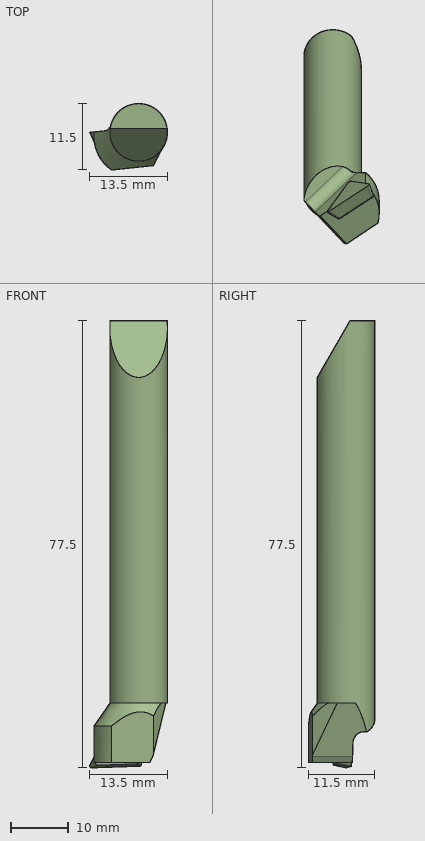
import cadquery as cq
import math

total_length = 77.5
shank_diameter = 10.0
shank_radius = shank_diameter / 2
shank_bottom = 11.2
bevel_height = 9.85
bevel_angle = 30.0

head_bottom = 0.9
shoulder_height = 7.3
flank_radius = 7.0
flank_x = -0.8
flank_y = -0.8
front_edge_x = -4.35
front_edge_y = -6.5
facet_x = 2.55
facet_end_x = 4.8
face_angle = 6.0
land_back_y = 1.55
side_top_x = 4.7
side_low_x = 2.5
side_low_z = 2.0
corner_x = 1.9

gully_start_x = -4.4
gully_start_z = 11.55
gully_angle = 33.0
gully_fillet = 1.9

tip_x = -8.49
tip_y = 0.0
insert_edge = 9.6
insert_thickness = 2.3
insert_lead_angle = 2.0
insert_relief = 11.0
nose_radius = 0.4

clearance = 15.5

face_slope = math.tan(math.radians(face_angle))
face_cos = math.cos(math.radians(face_angle))
face_sin = math.sin(math.radians(face_angle))
rake_plane = cq.Plane(origin=(tip_x, tip_y, 0), xDir=(face_cos, face_sin, 0), normal=(face_sin, -face_cos, 0))


def make_shank():
    shank = cq.Workplane("XY").workplane(offset=shank_bottom)
    shank = shank.circle(shank_radius).extrude(total_length - shank_bottom)
    bevel_top_y = bevel_height * math.tan(math.radians(bevel_angle)) - shank_radius
    bevel = (
        cq.Workplane("YZ")
        .moveTo(bevel_top_y, total_length)
        .lineTo(-shank_radius, total_length - bevel_height)
        .lineTo(-shank_radius, total_length)
        .close()
        .extrude(shank_radius, both=True)
    )
    return shank.cut(bevel)


def make_head_plan():
    """Vertical prism bounded by the front flat, the side facet and the shank surface."""
    facet_y = front_edge_y + (facet_x - front_edge_x) * face_slope
    facet_end_y = -math.sqrt(shank_radius**2 - facet_end_x**2)
    land_x = -math.sqrt(shank_radius**2 - land_back_y**2)
    left_x = -clearance
    left_y = front_edge_y + (left_x - front_edge_x) * face_slope
    return (
        cq.Workplane("XY")
        .workplane(offset=head_bottom)
        .moveTo(left_x, left_y)
        .lineTo(facet_x, facet_y)
        .lineTo(facet_end_x, facet_end_y)
        .threePointArc((0, shank_radius), (land_x, land_back_y))
        .lineTo(left_x, land_back_y)
        .close()
        .extrude(shank_bottom - head_bottom)
    )


def make_head_side():
    """Prism that gives the head its sloping right side and bevelled lower corner."""
    side_points = [
        (-clearance, head_bottom),
        (corner_x, head_bottom),
        (side_low_x, side_low_z),
        (side_top_x, shank_bottom),
        (-clearance, shank_bottom),
    ]
    return cq.Workplane("XZ").polyline(side_points).close().extrude(clearance, both=True)


def make_flank():
    """Clearance cylinder with a conical shoulder up to the shank."""
    cylinder = cq.Workplane("XY").workplane(offset=head_bottom).center(flank_x, flank_y)
    cylinder = cylinder.circle(flank_radius).extrude(shoulder_height - head_bottom)
    shoulder = (
        cq.Workplane("XY")
        .workplane(offset=shoulder_height)
        .center(flank_x, flank_y)
        .circle(flank_radius)
        .workplane(offset=shank_bottom - shoulder_height)
        .center(-flank_x, -flank_y)
        .circle(shank_radius)
        .loft(ruled=True)
    )
    return cylinder.union(shoulder)


def make_gully():
    """Space behind the rake plane, under a sloping roof with a rounded root."""
    roof_slope = math.tan(math.radians(gully_angle))
    start_u = (gully_start_x - tip_x) / face_cos
    roof_left_z = gully_start_z + (clearance + start_u) * roof_slope
    roof_right_z = gully_start_z - (2 * clearance - start_u) * roof_slope
    return (
        cq.Workplane(rake_plane)
        .moveTo(-clearance, roof_left_z)
        .lineTo(2 * clearance, roof_right_z)
        .lineTo(-clearance, roof_right_z)
        .close()
        .extrude(-clearance)
        .edges(cq.selectors.NearestToPointSelector((gully_start_x, tip_y, gully_start_z)))
        .fillet(gully_fillet)
    )


def make_insert():
    """Triangle with rounded noses, tapering away from the rake face."""
    lower_edge = math.radians(insert_lead_angle)
    upper_edge = lower_edge + math.radians(60)
    bisector = lower_edge + math.radians(30)
    corner_u = nose_radius - 2 * nose_radius * math.cos(bisector)
    corner_z = nose_radius - 2 * nose_radius * math.sin(bisector)
    corners = [(corner_u, corner_z)]
    for angle in (lower_edge, upper_edge):
        end_u = corner_u + insert_edge * math.cos(angle)
        end_z = corner_z + insert_edge * math.sin(angle)
        corners.append((end_u, end_z))
    return (
        cq.Workplane(rake_plane)
        .polyline(corners)
        .close()
        .extrude(insert_thickness, taper=insert_relief)
        .edges(-cq.selectors.PerpendicularDirSelector(rake_plane.zDir))
        .fillet(nose_radius)
    )


insert = make_insert()
head = make_flank().intersect(make_head_plan()).intersect(make_head_side())
holder = make_shank().union(head).cut(make_gully()).cut(insert)

result = cq.Compound.makeCompound([*holder.solids().vals(), *insert.solids().vals()])